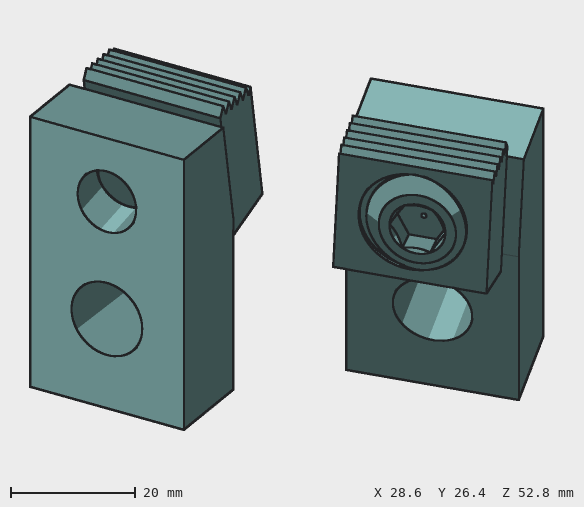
import cadquery as cq
import math

block_width = 28.55
block_depth = 15.75
block_height = 49.25
pin_hole_diameter = 13.15
pin_hole_height = 16.3

tilt = 10.0
seat_top_depth = 12.5
tilt_slope = math.tan(math.radians(tilt))
seat_drop = (block_depth - seat_top_depth) / tilt_slope

jaw_width = 25.4
jaw_thickness = 9.65
jaw_shift = 1.2
jaw_bottom_height = 27.7
jaw_bottom_angle = 19.5
tooth_count = 5
tooth_pitch = 1.8
tooth_height = 1.8
tooth_top = 52.8
tooth_root = tooth_top - tooth_height

screw_entry_height = 37.7
shank_radius = 5.45
tip_chamfer = 0.6
tip_depth = 5.6
head_radius = 8.95
head_top_radius = 6.4
head_projection = 1.75
cone_height = 2.0
head_rim = 0.55
socket_across_flats = 8.0
socket_depth = 4.2

bore_radius = head_radius
clearance_radius = shank_radius + jaw_shift

cos_tilt = math.cos(math.radians(tilt))
sin_tilt = math.sin(math.radians(tilt))
seat_distance = seat_top_depth * cos_tilt + (block_height - screw_entry_height) * sin_tilt
jaw_face_distance = seat_distance + jaw_thickness
head_top_distance = jaw_face_distance + head_projection
head_bottom_distance = head_top_distance - cone_height - head_rim
tip_distance = tip_depth / cos_tilt


def seat_y(z):
    """Y of the inclined seat plane at height z."""
    return seat_top_depth - (z - block_height) * tilt_slope


def jaw_face_y(z):
    """Y of the jaw's outer inclined face at height z."""
    return seat_y(z) + jaw_thickness / cos_tilt


def screw_plane(distance, x=0):
    """Plane normal to the tilted screw axis; its local X is the global -X."""
    origin = (x, distance * cos_tilt, screw_entry_height + distance * sin_tilt)
    return cq.Workplane(cq.Plane(origin, (-1, 0, 0), (0, cos_tilt, sin_tilt)))


def make_block():
    outline = [
        (0, 0),
        (block_depth, 0),
        (block_depth, block_height - seat_drop),
        (seat_top_depth, block_height),
        (0, block_height),
    ]
    block = cq.Workplane("YZ").polyline(outline).close().extrude(block_width / 2, both=True)
    pin_hole = (
        cq.Workplane("XZ")
        .center(0, pin_hole_height)
        .circle(pin_hole_diameter / 2)
        .extrude(-block_depth)
    )
    screw_hole = screw_plane(-block_depth).circle(shank_radius).extrude(3 * block_depth)
    return block.cut(pin_hole).cut(screw_hole)


def jaw_outline():
    """Side profile: inclined slab with a sloping bottom and a serrated top."""
    first_root = seat_y(tooth_root)
    points = [(seat_y(jaw_bottom_height), jaw_bottom_height), (first_root, tooth_root)]
    for tooth in range(tooth_count):
        root = first_root + tooth * tooth_pitch
        points.append((root + tooth_pitch / 2, tooth_top))
        points.append((root + tooth_pitch, tooth_root))

    last_root = first_root + tooth_count * tooth_pitch
    flank_slope = 2 * tooth_height / tooth_pitch
    flank_run = (jaw_face_y(tooth_root) - last_root) / (1 + flank_slope * tilt_slope)
    points.append((last_root + flank_run, tooth_root + flank_slope * flank_run))

    bottom_slope = math.tan(math.radians(jaw_bottom_angle))
    bottom_run = jaw_thickness / cos_tilt / (1 + bottom_slope * tilt_slope)
    points.append(
        (seat_y(jaw_bottom_height) + bottom_run, jaw_bottom_height + bottom_slope * bottom_run)
    )
    return points


def make_head_bore():
    """Cylinder of the jaw's head bore, long enough to contain the screw head."""
    length = head_top_distance - head_bottom_distance
    return screw_plane(head_bottom_distance, jaw_shift).circle(bore_radius).extrude(length)


def make_jaw():
    jaw = (
        cq.Workplane("YZ", origin=(jaw_shift, 0, 0))
        .polyline(jaw_outline())
        .close()
        .extrude(jaw_width / 2, both=True)
    )
    clearance = (
        screw_plane(seat_distance, jaw_shift).circle(clearance_radius).extrude(jaw_thickness)
    )
    return jaw.cut(clearance).cut(make_head_bore())


def make_socket():
    """Hexagonal drive recess with a 45 degree lead-in cone through its corners."""
    corner_radius = socket_across_flats / math.sqrt(3)
    hexagon = (
        screw_plane(head_top_distance - socket_depth)
        .polygon(6, 2 * corner_radius)
        .extrude(socket_depth)
    )
    axis = cq.Vector(0, cos_tilt, sin_tilt)
    cone_tip = screw_plane(head_top_distance - corner_radius).plane.origin
    lead_in = cq.Solid.makeCone(0, corner_radius, corner_radius, cone_tip, axis)
    return hexagon.union(cq.Workplane(lead_in))


def make_screw():
    shank_length = head_bottom_distance - tip_distance
    shank = (
        screw_plane(tip_distance)
        .circle(shank_radius)
        .extrude(shank_length)
        .faces("<Y")
        .chamfer(tip_chamfer)
    )
    head = (
        screw_plane(head_bottom_distance)
        .circle(head_radius)
        .extrude(head_rim + cone_height)
        .faces(">Y")
        .chamfer(cone_height, head_radius - head_top_radius)
    )
    head = head.intersect(make_head_bore())
    return shank.union(head).cut(make_socket())


block = make_block()
jaw = make_jaw()
screw = make_screw()
result = cq.Compound.makeCompound([block.val(), jaw.val(), screw.val()])